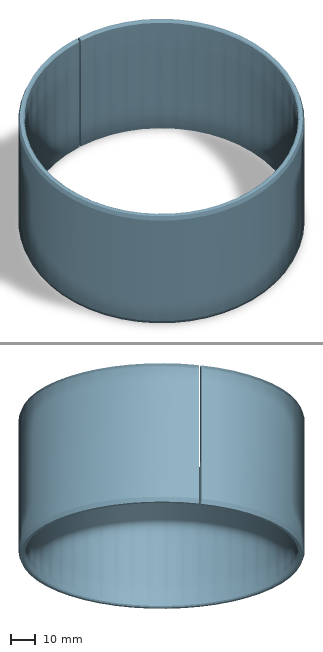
import cadquery as cq

outer_diameter = 115.0
wall = 2.5
length = 60.0
split_angle = 1.0

outer_chamfer_length = 1.8
outer_chamfer_depth = 0.7
inner_chamfer = 0.5

outer_radius = outer_diameter / 2
inner_radius = outer_radius - wall
half_length = length / 2

wall_section = [
    (-inner_radius, half_length - inner_chamfer),
    (-inner_radius - inner_chamfer, half_length),
    (-outer_radius + outer_chamfer_depth, half_length),
    (-outer_radius, half_length - outer_chamfer_length),
    (-outer_radius, -half_length + outer_chamfer_length),
    (-outer_radius + outer_chamfer_depth, -half_length),
    (-inner_radius - inner_chamfer, -half_length),
    (-inner_radius, -half_length + inner_chamfer),
]

result = (
    cq.Workplane("XZ")
    .polyline(wall_section)
    .close()
    .revolve(360 - split_angle, (0, 0), (0, 1))
)